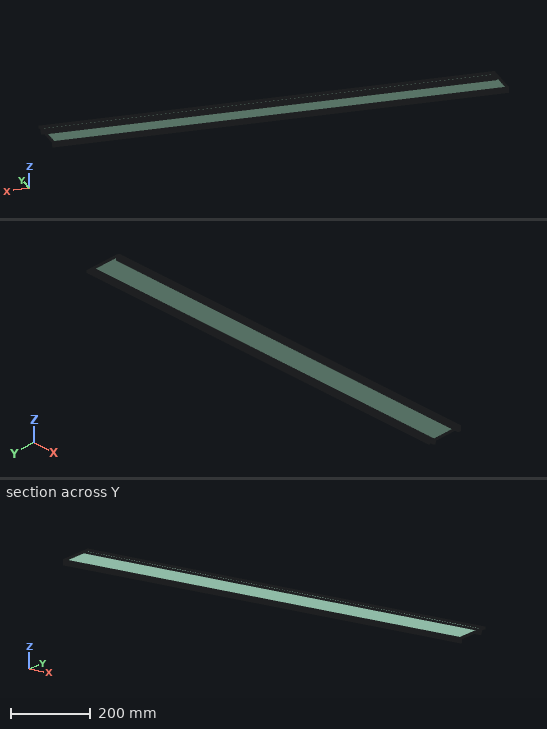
import cadquery as cq

length = 1200.0
width = 112.0
height = 11.3

wall = 1.3
rear_lip_thickness = 1.0
rear_lip_height = 2.3
leg_offset = 18.87
leg_thickness = 1.27
rib_reach = 2.3
rib_depth = 5.0
rib_thickness = 1.5

ledge_thickness = 1.55
groove_height = 1.2
groove_depth = 3.6

blade_thickness = 1.3
blade_height = 7.3

rear = width / 2
front = -width / 2
plate_bottom = height - wall
leg_rear = rear - leg_offset
leg_front = leg_rear - leg_thickness
rib_top = height - rib_depth
inner_front = front + wall
groove_mouth = inner_front + groove_depth
groove_bottom = wall
groove_top = groove_bottom + groove_height


def bar(y_min, y_max, z_min, z_max):
    """Rectangular bar running the full length of the part, centred on X."""
    return (
        cq.Workplane("XY")
        .box(length, y_max - y_min, z_max - z_min, centered=(True, False, False))
        .translate((0, y_min, z_min))
    )


def make_cover():
    """Top plate with a rear lip, a ribbed leg and a grooved front wall."""
    plate = bar(front, rear, plate_bottom, height)
    rear_lip = bar(rear - rear_lip_thickness, rear, height - rear_lip_height, height)
    leg = bar(leg_front, leg_rear, 0, height)
    leg_rib = bar(leg_front - rib_reach, leg_rear + rib_reach, rib_top - rib_thickness, rib_top)
    front_wall = bar(front, inner_front, 0, height)
    bottom_lip = bar(front, groove_mouth, 0, groove_bottom)
    ledge = bar(front, groove_mouth, groove_top, groove_top + ledge_thickness)

    cover = plate
    for piece in (rear_lip, leg, leg_rib, front_wall, bottom_lip, ledge):
        cover = cover.union(piece)
    return cover.clean()


def make_strip():
    """T-shaped strip: a tongue filling the groove and a blade across its mouth."""
    tongue = bar(inner_front, groove_mouth, groove_bottom, groove_top)
    blade = bar(groove_mouth, groove_mouth + blade_thickness, 0, blade_height)
    return tongue.union(blade)


cover = make_cover()
strip = make_strip()

result = cq.Compound.makeCompound([cover.solids().val(), strip.solids().val()])